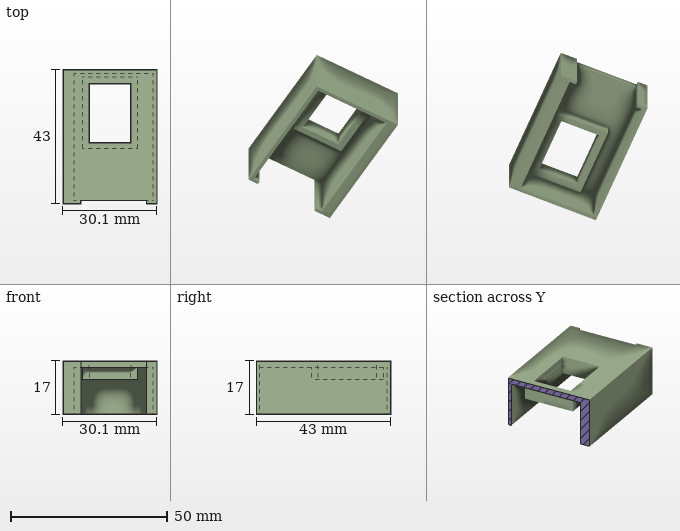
import cadquery as cq

width = 30.1
length = 43.0
height = 17.0

cladding = 2.3
wall = 1.25
roof = 2.0

lip_width = 3.4
lip_depth = 1.05

collar_left = 6.2
collar_front = 17.7
collar_width = 17.6
collar_length = 22.9
collar_height = 5.95

window_left = 8.3
window_front = 19.55
window_width = 13.45
window_length = 18.9
window_ledge = 0.15


def box(left, front, bottom, size_x, size_y, size_z):
    """Box placed by its left, front, bottom corner."""
    return cq.Workplane("XY").box(size_x, size_y, size_z, centered=False).translate((left, front, bottom))


roof_bottom = height - roof
cavity_left = cladding + wall
cavity_width = width - cavity_left - wall
cavity_length = length - lip_depth - wall
cavity = box(cavity_left, lip_depth, 0, cavity_width, cavity_length, roof_bottom)

entry_left = cladding + lip_width
entry_width = width - entry_left - lip_width
entry = box(entry_left, 0, 0, entry_width, lip_depth, height)

shell = box(0, 0, 0, width, length, height).cut(cavity).cut(entry)

collar_bottom = height - collar_height
collar = box(collar_left, collar_front, collar_bottom, collar_width, collar_length, collar_height)
roof_window = box(window_left, window_front, roof_bottom, window_width, window_length, roof)
collar_window = box(
    window_left + window_ledge,
    window_front + window_ledge,
    collar_bottom,
    window_width - 2 * window_ledge,
    window_length - 2 * window_ledge,
    collar_height,
)

result = shell.union(collar).cut(roof_window).cut(collar_window)